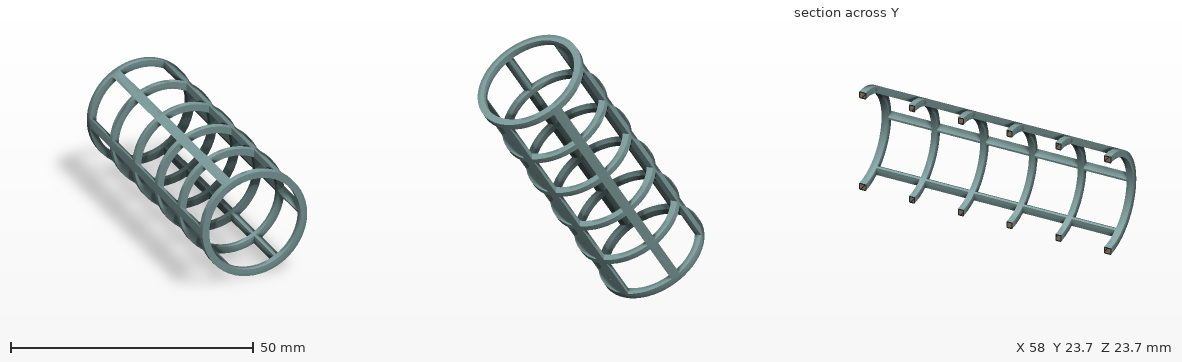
import cadquery as cq

length = 58.0
outer_diameter = 23.7
wall = 1.5

window_side = 10.0
windows_per_row = 5
end_ring_width = 1.5
row_count = 6

inner_ring_count = windows_per_row - 1
window_total = windows_per_row * window_side
inner_ring_width = (length - 2 * end_ring_width - window_total) / inner_ring_count
window_pitch = window_side + inner_ring_width


def make_tube():
    """Plain open tube along X."""
    inner_diameter = outer_diameter - 2 * wall
    return (
        cq.Workplane("YZ")
        .circle(outer_diameter / 2)
        .circle(inner_diameter / 2)
        .extrude(length / 2, both=True)
    )


def make_window_cutters(angle):
    """Square prisms along the tube, passing through two opposite walls."""
    return (
        cq.Workplane("XY")
        .rarray(window_pitch, 0.6, windows_per_row, 1)
        .rect(window_side, window_side)
        .extrude(outer_diameter, both=True)
        .rotate((0, 0, 0), (1, 0, 0), angle)
    )


result = make_tube()

for index in range(row_count // 2):
    result = result.cut(make_window_cutters(index * 360 / row_count))